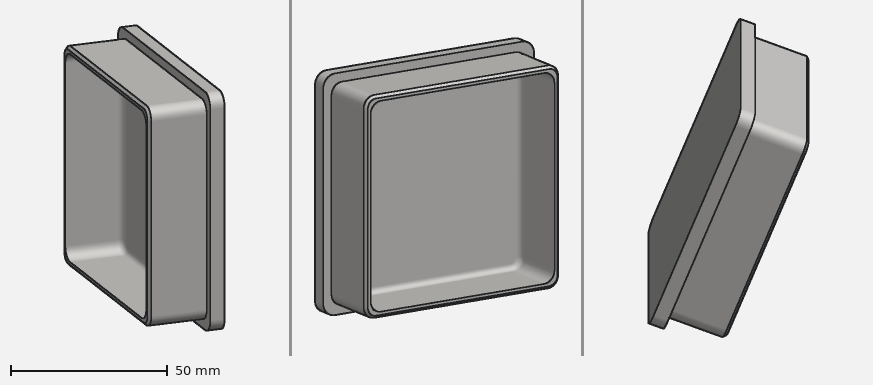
import cadquery as cq

flange_size = 80.0
flange_thickness = 5.0
flange_corner_radius = 4.5

plug_length = 20.0
plug_size = 73.8
plug_corner_radius = 4.0
rim_chamfer = 1.0

wall_thickness = 2.0
cavity_corner_radius = 4.0
floor_fillet = 2.0
floor_thickness = flange_thickness

total_depth = flange_thickness + plug_length
cavity_size = plug_size - 2 * wall_thickness
cavity_depth = total_depth - floor_thickness


def rounded_square_block(size, corner_radius, back_y, length):
    """Square block with rounded corners, running from back_y towards -Y."""
    return (
        cq.Workplane("XZ", origin=(0, back_y, 0))
        .rect(size, size)
        .extrude(length)
        .edges("|Y")
        .fillet(corner_radius)
    )


def make_flange():
    return rounded_square_block(flange_size, flange_corner_radius, total_depth, flange_thickness)


def make_plug():
    plug = rounded_square_block(plug_size, plug_corner_radius, plug_length, plug_length)
    return plug.faces("<Y").chamfer(rim_chamfer)


def make_cavity():
    cavity = rounded_square_block(cavity_size, cavity_corner_radius, cavity_depth, cavity_depth)
    return cavity.faces(">Y").edges().fillet(floor_fillet)


result = make_flange().union(make_plug()).cut(make_cavity())